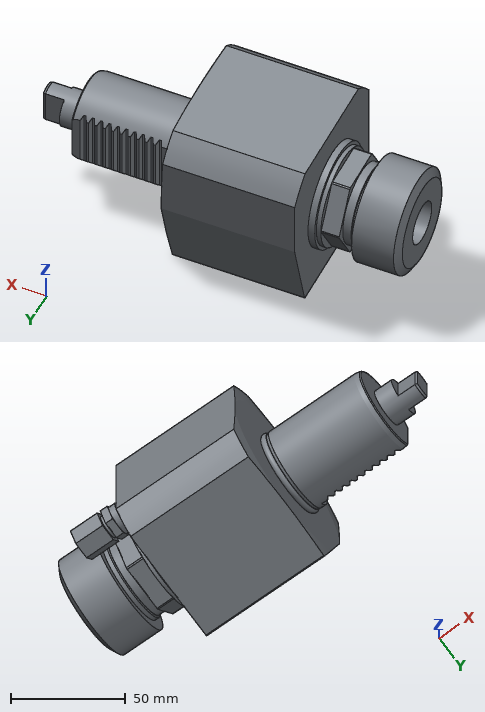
import cadquery as cq
import math


nut_end = 22.4
collar_end = 25.1
hex_start = 29.2
hex_end = 37.8
small_flange_end = 40.0
body_start = 43.2
body_end = 107.0
ring_end = 109.9
shank_start = 111.3
shank_taper_start = 157.4
shank_end = 160.0
drive_flat_start = 169.2
tool_length = 179.3

nut_diameter = 50.0
nut_radius = nut_diameter / 2
nut_chamfer_length = 2.3
nut_chamfer_height = 4.1
nut_bore_radius = 10.0
nut_bore_depth = nut_end
collar_radius = 20.0
collar_chamfer = 0.5
thread_radius = 19.2
hex_half_flats = 20.0
hex_corner_radius = 23.0
small_flange_radius = 23.3

body_size = 78.0
body_half = body_size / 2
body_corner_radius = 48.0
side_slope_angle = 15.0
rear_relief_radius = body_half
rear_relief_depth = 0.7

shank_radius = 20.0
ring_radius = 20.6
ring_edge_radius = 19.9
groove_radius = 19.5
taper_height = 0.5
shank_edge_chamfer = 0.5
rack_start = 114.0
rack_height = 16.0
tooth_pitch = 4.0
notch_count = 10
first_notch = 118.7
notch_depth = 1.8
notch_bottom_width = 0.9
notch_flank_angle = 30.0

tang_radius = 9.0
tang_half_thickness = 4.0
tang_chamfer_length = 1.0
tang_chamfer_height = 0.4

nozzle_y = -33.0
nozzle_z = -24.0
nozzle_start = 20.3
nozzle_head_end = 34.6
nozzle_nut_start = 36.2
nozzle_nut_end = 40.0
nozzle_half_flats = 7.0
nozzle_neck_radius = 5.5
nozzle_mouth_radius = 3.2
nozzle_mouth_depth = (nozzle_head_end - nozzle_start) / 2
nozzle_hole_radius = 2.3


def cross_section_plane(x, y=0.0, z=0.0):
    """Plane across the axis: local x is Y, local y is Z, and it faces +X."""
    return cq.Workplane("YZ", origin=(x, y, z))


def cylinder(radius, start, end, y=0.0, z=0.0):
    return cross_section_plane(start, y, z).circle(radius).extrude(end - start)


def hexagon(half_flats, start, end, y=0.0, z=0.0):
    """Hexagonal prism along X with its corners pointing to +Y and -Y."""
    corner_diameter = 2 * half_flats / math.cos(math.pi / 6)
    return cross_section_plane(start, y, z).polygon(6, corner_diameter).extrude(end - start)


def revolve_about_axis(outline):
    return outline.close().revolve(360, (0, 0, 0), (1, 0, 0))


def make_nut_and_collars():
    outline = (
        cq.Workplane("XY")
        .moveTo(0, 0)
        .lineTo(0, nut_radius - nut_chamfer_height)
        .lineTo(nut_chamfer_length, nut_radius)
        .lineTo(nut_end, nut_radius)
        .lineTo(nut_end, collar_radius)
        .lineTo(collar_end - collar_chamfer, collar_radius)
        .lineTo(collar_end, collar_radius - collar_chamfer)
        .lineTo(collar_end, thread_radius)
        .lineTo(hex_end, thread_radius)
        .lineTo(hex_end, small_flange_radius)
        .lineTo(small_flange_end, small_flange_radius)
        .lineTo(small_flange_end, nut_radius)
        .lineTo(body_start, nut_radius)
        .lineTo(body_start, 0)
    )
    wrench_hex = hexagon(hex_half_flats, hex_start, hex_end).intersect(
        cylinder(hex_corner_radius, hex_start, hex_end)
    )
    return revolve_about_axis(outline).union(wrench_hex)


def make_body():
    length = body_end - body_start
    block = cross_section_plane(body_start).rect(body_size, body_size).extrude(length)

    envelope = revolve_about_axis(
        cq.Workplane("XY")
        .moveTo(body_start, 0)
        .lineTo(body_start, body_corner_radius)
        .lineTo(body_end - rear_relief_depth, body_corner_radius)
        .lineTo(body_end, rear_relief_radius)
        .lineTo(body_end, 0)
    )

    slope_run = body_half * math.tan(math.radians(side_slope_angle))
    side_wedge = (
        cross_section_plane(body_start)
        .moveTo(body_half, 0)
        .lineTo(body_half, -body_half)
        .lineTo(body_half - slope_run, -body_half)
        .close()
        .extrude(length)
    )
    return block.intersect(envelope).cut(side_wedge)


def make_rack_cut():
    """Material removed from the +Y side of the shank: a flat and its tooth notches."""
    width = 2 * shank_radius
    rack = cq.Workplane("XY", origin=(rack_start, rack_height, 0)).box(
        shank_end - rack_start, width, width, centered=(False, False, True)
    )

    half_bottom = notch_bottom_width / 2
    half_top = half_bottom + notch_depth * math.tan(math.radians(notch_flank_angle))
    notch = (
        cq.Workplane("XY", origin=(first_notch, rack_height, -shank_radius))
        .moveTo(-half_top, 0)
        .lineTo(-half_bottom, -notch_depth)
        .lineTo(half_bottom, -notch_depth)
        .lineTo(half_top, 0)
        .close()
        .extrude(width)
    )
    for index in range(notch_count):
        rack = rack.union(notch.translate((index * tooth_pitch, 0, 0)))
    return rack


def make_shank():
    taper_radius = shank_radius - taper_height
    taper_end = shank_end - shank_edge_chamfer
    outline = (
        cq.Workplane("XY")
        .moveTo(body_end, 0)
        .lineTo(body_end, ring_edge_radius)
        .threePointArc(((body_end + ring_end) / 2, ring_radius), (ring_end, ring_edge_radius))
        .lineTo(ring_end, groove_radius)
        .lineTo(shank_start, shank_radius)
        .lineTo(shank_taper_start, shank_radius)
        .lineTo(taper_end, taper_radius)
        .lineTo(shank_end, taper_radius - shank_edge_chamfer)
        .lineTo(shank_end, 0)
    )
    return revolve_about_axis(outline).cut(make_rack_cut())


def make_drive_tang():
    tang = cylinder(tang_radius, shank_end, drive_flat_start)
    tip_start = tool_length - tang_chamfer_length
    blade = revolve_about_axis(
        cq.Workplane("XY")
        .moveTo(drive_flat_start, 0)
        .lineTo(drive_flat_start, tang_radius)
        .lineTo(tip_start, tang_radius)
        .lineTo(tool_length, tang_radius - tang_chamfer_height)
        .lineTo(tool_length, 0)
    )

    tip_half_thickness = tang_half_thickness - tang_chamfer_height
    blade_slab = (
        cq.Workplane("XY")
        .moveTo(drive_flat_start, -tang_half_thickness)
        .lineTo(tip_start, -tang_half_thickness)
        .lineTo(tool_length, -tip_half_thickness)
        .lineTo(tool_length, tip_half_thickness)
        .lineTo(tip_start, tang_half_thickness)
        .lineTo(drive_flat_start, tang_half_thickness)
        .close()
        .extrude(tang_radius, both=True)
    )
    return tang.union(blade.intersect(blade_slab))


def make_nozzle():
    center = (nozzle_y, nozzle_z)
    head = hexagon(nozzle_half_flats, nozzle_start, nozzle_head_end, *center)
    neck = cylinder(nozzle_neck_radius, nozzle_head_end, nozzle_nut_start, *center)
    lock_nut = hexagon(nozzle_half_flats, nozzle_nut_start, nozzle_nut_end, *center)
    seat = cylinder(nozzle_half_flats, nozzle_nut_end, body_start, *center)
    mouth_end = nozzle_start + nozzle_mouth_depth
    mouth = cylinder(nozzle_mouth_radius, nozzle_start, mouth_end, *center)
    hole = cylinder(nozzle_hole_radius, mouth_end, nozzle_head_end, *center)
    return head.union(neck).union(lock_nut).union(seat).cut(mouth).cut(hole)


result = (
    make_body()
    .union(make_nut_and_collars())
    .union(make_shank())
    .union(make_drive_tang())
    .union(make_nozzle())
    .cut(cylinder(nut_bore_radius, 0, nut_bore_depth))
)